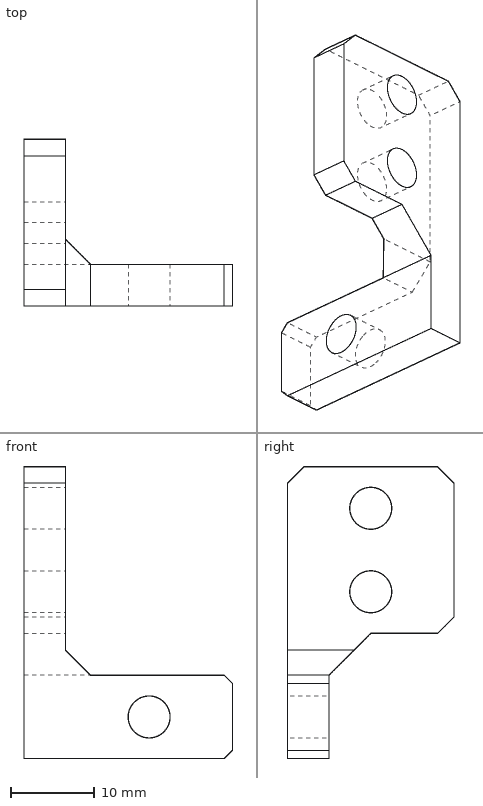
import cadquery as cq

length_x = 25.0
depth_y = 20.0
height_z = 35.0

thickness = 5.0
foot_height = 10.0
head_bottom = 15.0
slope_end_y = 10.0

gusset = 3.0
foot_chamfer = 1.0
head_chamfer = 2.0

hole_diameter = 5.0
foot_hole_x = 15.0
foot_hole_z = foot_height / 2
head_hole_y = depth_y / 2
head_hole_heights = (20.0, 30.0)


def front_profile():
    """L outline in XZ, extruded over the whole depth."""
    points = [
        (0, 0),
        (length_x - foot_chamfer, 0),
        (length_x, foot_chamfer),
        (length_x, foot_height - foot_chamfer),
        (length_x - foot_chamfer, foot_height),
        (thickness + gusset, foot_height),
        (thickness, foot_height + gusset),
        (thickness, height_z),
        (0, height_z),
    ]
    return cq.Workplane("XZ").polyline(points).close().extrude(-depth_y)


def side_profile():
    """Stem and chamfered head outline in YZ, extruded over the whole length."""
    points = [
        (0, 0),
        (thickness, 0),
        (thickness, foot_height),
        (slope_end_y, head_bottom),
        (depth_y - head_chamfer, head_bottom),
        (depth_y, head_bottom + head_chamfer),
        (depth_y, height_z - head_chamfer),
        (depth_y - head_chamfer, height_z),
        (head_chamfer, height_z),
        (0, height_z - head_chamfer),
    ]
    return cq.Workplane("YZ").polyline(points).close().extrude(length_x)


def plan_profile():
    """L outline in XY with the inner gusset, extruded over the whole height."""
    points = [
        (0, 0),
        (length_x, 0),
        (length_x, thickness),
        (thickness + gusset, thickness),
        (thickness, thickness + gusset),
        (thickness, depth_y),
        (0, depth_y),
    ]
    return cq.Workplane("XY").polyline(points).close().extrude(height_z)


def foot_hole():
    """Through hole along Y in the foot plate."""
    return (
        cq.Workplane("XZ")
        .center(foot_hole_x, foot_hole_z)
        .circle(hole_diameter / 2)
        .extrude(-thickness)
    )


def head_holes():
    """Through holes along X in the head of the upright plate."""
    centers = [(head_hole_y, z) for z in head_hole_heights]
    return (
        cq.Workplane("YZ")
        .pushPoints(centers)
        .circle(hole_diameter / 2)
        .extrude(thickness)
    )


bracket = front_profile().intersect(side_profile()).intersect(plan_profile())
result = bracket.cut(foot_hole()).cut(head_holes())